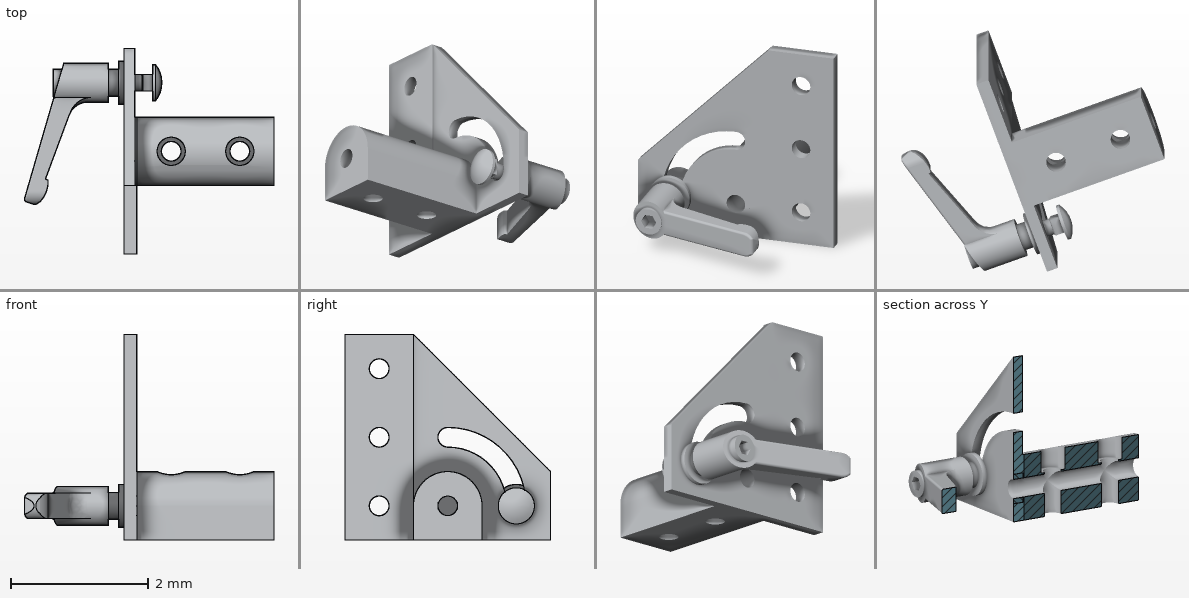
import cadquery as cq
import math


overall_length = 3.64
plate_side = 3.0
pitch = plate_side / 3
half_pitch = pitch / 2

plate_thickness = 0.19
plate_recess = 0.03
hole_diameter = 0.285
mounting_holes = 3

pivot_y = 1.5 * pitch
pivot_z = half_pitch
bushing_diameter = 0.435
bushing_length = plate_thickness - plate_recess

block_width = pitch
block_length = 2 * pitch
counterbore_diameter = 0.41
counterbore_depth = 0.328
cross_holes = 2

slot_radius = pitch
clamp_y = pivot_y + slot_radius
clamp_z = pivot_z

washer_diameter = 0.63
washer_thickness = 0.075
insert_diameter = 0.395
insert_outer_x = -1.035
socket_across_flats = 0.2
socket_depth = 0.22

bolt_diameter = 0.245
bolt_tip_x = -0.582
neck_start_x = 0.262
neck_chamfer = 0.015
head_start_x = 0.42
head_diameter = 0.528
head_rim = 0.045
head_dome = 0.09

hub_diameter = 0.57
hub_end_x = -0.225
face_axis_x = -0.96
face_slope = 0.29
lever_width = 0.375
lever_tip_y = 0.725
lever_end_x = plate_thickness + block_length - overall_length
tip_corner_radius = 0.045
tip_slope = math.radians(18.5)
tip_back_x = -1.285
knob_curve_start = (-1.223, 0.765)
knob_curve_middle = (-1.15, 0.865)
knob_curve_end = (-1.105, 1.012)
knob_top_y = 1.08
notch_x = -1.143
notch_y = 1.095
back_slope = 0.371
junction_radius = 0.275
lever_rim_radius = 0.033


def rod(diameter, start_x, end_x, y, z):
    """Cylinder along X."""
    return (
        cq.Workplane("YZ", origin=(start_x, y, z))
        .circle(diameter / 2)
        .extrude(end_x - start_x)
    )


def block_outline(start_x):
    """Square-footed, round-topped cross-section of the block."""
    low_y = pivot_y - block_width / 2
    high_y = pivot_y + block_width / 2
    return (
        cq.Workplane("YZ", origin=(start_x, 0, 0))
        .moveTo(low_y, 0)
        .lineTo(high_y, 0)
        .lineTo(high_y, pivot_z)
        .threePointArc((pivot_y, pivot_z + block_width / 2), (low_y, pivot_z))
        .close()
    )


def make_plate():
    outline = [
        (0, 0),
        (plate_side, 0),
        (plate_side, pitch),
        (pitch, plate_side),
        (0, plate_side),
    ]
    plate = cq.Workplane("YZ").polyline(outline).close().extrude(plate_thickness)

    lowered = cq.Workplane("XY").box(
        plate_recess, plate_side - pitch, plate_side, centered=False
    ).translate((plate_thickness - plate_recess, pitch, 0))
    block_seat = block_outline(plate_thickness - plate_recess).extrude(plate_recess)
    plate = plate.cut(lowered.cut(block_seat))

    for row in range(mounting_holes):
        hole_z = half_pitch + row * pitch
        plate = plate.cut(rod(hole_diameter, 0, plate_thickness, half_pitch, hole_z))

    inner = slot_radius - hole_diameter / 2
    outer = slot_radius + hole_diameter / 2
    diagonal = math.sqrt(0.5)
    slot = (
        cq.Workplane("YZ", origin=(0, pivot_y, pivot_z))
        .moveTo(outer, 0)
        .threePointArc((outer * diagonal, outer * diagonal), (0, outer))
        .threePointArc((-hole_diameter / 2, slot_radius), (0, inner))
        .threePointArc((inner * diagonal, inner * diagonal), (inner, 0))
        .threePointArc((slot_radius, -hole_diameter / 2), (outer, 0))
        .close()
        .extrude(plate_thickness)
    )
    plate = plate.cut(slot)

    plate = plate.cut(rod(hole_diameter, 0, plate_thickness, pivot_y, pivot_z))
    return plate.cut(rod(bushing_diameter, 0, bushing_length, pivot_y, pivot_z))


def make_bushing():
    bushing = rod(bushing_diameter, 0, bushing_length, pivot_y, pivot_z)
    return bushing.cut(rod(hole_diameter, 0, bushing_length, pivot_y, pivot_z))


def make_block():
    block = block_outline(plate_thickness).extrude(block_length)
    block_end_x = plate_thickness + block_length
    block = block.cut(rod(hole_diameter, plate_thickness, block_end_x, pivot_y, pivot_z))
    block_top = pivot_z + block_width / 2
    for step in range(cross_holes):
        hole_x = plate_thickness + half_pitch + step * pitch
        hole = (
            cq.Workplane("XY", origin=(hole_x, pivot_y, 0))
            .circle(hole_diameter / 2)
            .extrude(block_top)
        )
        counterbore = (
            cq.Workplane("XY", origin=(hole_x, pivot_y, block_top))
            .circle(counterbore_diameter / 2)
            .extrude(-counterbore_depth)
        )
        block = block.cut(hole).cut(counterbore)
    return block


def make_washer():
    washer = rod(washer_diameter, -washer_thickness, 0, clamp_y, clamp_z)
    return washer.cut(rod(bolt_diameter, -washer_thickness, 0, clamp_y, clamp_z))


def make_insert():
    insert = rod(insert_diameter, insert_outer_x, -washer_thickness, clamp_y, clamp_z)
    insert = insert.cut(rod(bolt_diameter, bolt_tip_x, -washer_thickness, clamp_y, clamp_z))
    socket_plane = cq.Plane((insert_outer_x, clamp_y, clamp_z), xDir=(0, 0, 1), normal=(1, 0, 0))
    socket = (
        cq.Workplane(socket_plane)
        .polygon(6, socket_across_flats, circumscribed=True)
        .extrude(socket_depth)
    )
    return insert.cut(socket)


def make_bolt():
    shank = rod(bolt_diameter, bolt_tip_x, neck_start_x, clamp_y, clamp_z)
    neck = (
        cq.Workplane("YZ", origin=(neck_start_x, clamp_y, clamp_z))
        .rect(bolt_diameter, bolt_diameter)
        .extrude(head_start_x - neck_start_x)
    )
    neck = neck.faces("<X").edges().chamfer(neck_chamfer)
    head_radius = head_diameter / 2
    dome_radius = (head_radius**2 + head_dome**2) / (2 * head_dome)
    dome_start = head_start_x + head_rim
    dome_end = dome_start + head_dome
    mid_angle = math.asin(head_radius / dome_radius) / 2
    dome_mid = (
        dome_end - dome_radius * (1 - math.cos(mid_angle)),
        dome_radius * math.sin(mid_angle),
    )
    head = (
        cq.Workplane("XY", origin=(0, clamp_y, clamp_z))
        .moveTo(head_start_x, 0)
        .lineTo(head_start_x, head_radius)
        .lineTo(dome_start, head_radius)
        .threePointArc(dome_mid, (dome_end, 0))
        .close()
        .revolve(360, (0, 0, 0), (1, 0, 0))
    )
    return shank.union(neck).union(head)


def face_x(y):
    """X of the slanted outer face of the lever at a given Y."""
    return face_axis_x - face_slope * (clamp_y - y)


def back_x(y):
    """X of the straight back of the lever arm at a given Y."""
    return notch_x + back_slope * (y - notch_y)


def make_arm():
    """Lever arm from the clamp axis to its rounded tip."""
    half_width = lever_width / 2
    tip_centre_y = lever_tip_y + half_width

    face_stretch = math.hypot(1, face_slope)
    corner_x = lever_end_x + tip_corner_radius
    corner_y = clamp_y - (face_axis_x - corner_x + tip_corner_radius * face_stretch) / face_slope
    corner_start = (
        corner_x - tip_corner_radius / face_stretch,
        corner_y + tip_corner_radius * face_slope / face_stretch,
    )
    corner_end = (
        corner_x - tip_corner_radius * math.sin(tip_slope),
        corner_y - tip_corner_radius * math.cos(tip_slope),
    )
    tip_front_x = corner_end[0] + (corner_end[1] - lever_tip_y) / math.tan(tip_slope)

    profile = (
        cq.Workplane("XY", origin=(0, 0, clamp_z - half_width))
        .moveTo(face_x(clamp_y), clamp_y)
        .lineTo(*corner_start)
        .threePointArc((lever_end_x, corner_y), corner_end)
        .lineTo(tip_front_x, lever_tip_y)
        .lineTo(tip_back_x, lever_tip_y)
        .lineTo(*knob_curve_start)
        .threePointArc(knob_curve_middle, knob_curve_end)
        .lineTo(knob_curve_end[0], knob_top_y)
        .lineTo(notch_x, notch_y)
        .lineTo(back_x(clamp_y), clamp_y)
        .close()
        .extrude(lever_width)
    )

    bar = (
        cq.Workplane("YZ", origin=(0, 0, clamp_z))
        .moveTo(clamp_y, half_width)
        .lineTo(tip_centre_y, half_width)
        .threePointArc((lever_tip_y, 0), (tip_centre_y, -half_width))
        .lineTo(clamp_y, -half_width)
        .close()
        .extrude(face_x(0))
    )
    bar = bar.cut(face_cutter())
    outer_face = cq.selectors.DirectionMinMaxSelector(cq.Vector(-1, face_slope, 0), True)
    bar = bar.faces(outer_face).edges("not >Y").fillet(lever_rim_radius)
    return bar.intersect(profile)


def face_cutter():
    """Wedge of space outside the slanted face of the lever."""
    top_y = plate_side
    return (
        cq.Workplane("XY", origin=(0, 0, clamp_z - hub_diameter))
        .polyline([
            (face_x(top_y), top_y),
            (face_x(0), 0),
            (face_x(0), top_y),
        ])
        .close()
        .extrude(2 * hub_diameter)
    )


def make_lever():
    hub = rod(hub_diameter, face_x(0), hub_end_x, clamp_y, clamp_z)
    lever = hub.cut(face_cutter()).union(make_arm())

    junction_y = clamp_y - hub_diameter / 2
    junction = cq.selectors.NearestToPointSelector((back_x(junction_y), junction_y, clamp_z))
    lever = lever.edges(junction).fillet(junction_radius)
    return lever.cut(rod(insert_diameter, face_x(0), hub_end_x, clamp_y, clamp_z))


plate = make_plate()
bushing = make_bushing()
block = make_block()
washer = make_washer()
insert = make_insert()
bolt = make_bolt()
lever = make_lever()

result = cq.Compound.makeCompound([
    plate.val(),
    bushing.val(),
    block.val(),
    washer.val(),
    insert.val(),
    bolt.val(),
    lever.val(),
])